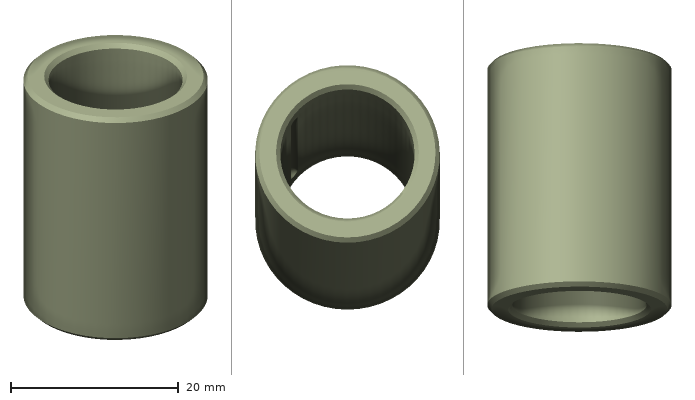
import cadquery as cq

length = 30.0
outer_diameter = 22.0
bore_diameter = 16.0
chamfer = 0.5

groove_width = 1.32
groove_side_depth = 0.25
groove_end_gap = 3.0
groove_length = length - 2 * groove_end_gap


def make_sleeve():
    """Plain tube along Z, with every circular edge chamfered."""
    tube = cq.Workplane("XY").circle(outer_diameter / 2).circle(bore_diameter / 2).extrude(length)
    return tube.faces("|Z").edges().chamfer(chamfer)


def make_groove_cutter():
    """Round-ended bar from the bore axis into the wall, with its outer edge fully rounded."""
    arc_start = bore_diameter / 2 + groove_side_depth
    radius = groove_width / 2
    straight_length = groove_length - groove_width
    bar = (
        cq.Workplane("YZ")
        .center(0, length / 2)
        .slot2D(groove_length, groove_width, 90)
        .extrude(arc_start)
    )
    rod_start = groove_end_gap + radius
    rod = cq.Workplane("XY", origin=(arc_start, 0, rod_start)).circle(radius).extrude(straight_length)
    cutter = bar.union(rod)
    for end_height in (rod_start, rod_start + straight_length):
        cutter = cutter.union(cq.Workplane("XY", origin=(arc_start, 0, end_height)).sphere(radius))
    return cutter


result = make_sleeve().cut(make_groove_cutter())